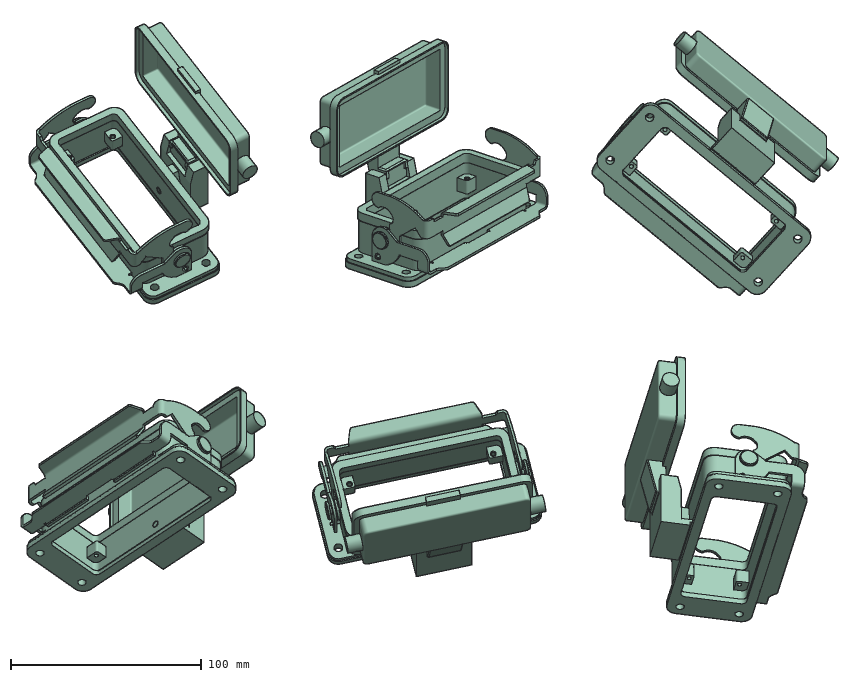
import cadquery as cq
import math


base_length = 115.5
base_width = 45.7
base_slab_height = 3.5
base_height = 5.7
base_step_inset = 0.7
base_corner = 5.8
wall_length = 95.2
wall_width = base_width - 2 * base_step_inset
wall_corner = 6.2
rim_overhang = 0.3
rim_bottom = 24.0
housing_height = 29.1
opening_length = 87.5
opening_width = 36.3
opening_corner = 2.8
liner_inset = 0.1
liner_top = 23.6
lip_inset_x = 0.9
lip_inset_y = 0.5
lip_height = 3.1
mount_hole_x = 51.6
mount_hole_y = 15.8
mount_hole_radius = 2.2
block_inner_x = 36.2
block_inner_y = 11.3
block_bottom = 9.5
block_top = 17.2
block_corner = 1.2
screw_x = 38.8
screw_y = 13.5
screw_radius = 1.0
screw_countersink_radius = 1.5

pivot_y = 0.1
pivot_z = 20.1
pivot_radius = 2.3
pivot_head_radius = 4.9
pivot_head_inner_x = 52.8
pivot_head_outer_x = 54.3
pivot_head_chamfer = 0.5
stop_y = 3.1
stop_z = 9.1
stop_radius = 0.7
stop_clearance_radius = 1.7
stop_outer_x = 53.0

hinge_half_width = 15.0
arm_half_width = 9.1
hinge_back_y = 39.5
hinge_front_y = 28.5
hinge_top_front_y = 30.5
hinge_slope_bottom = 24.6
hinge_bottom = 1.4
hinge_top = 33.1
hinge_slot_bottom = hinge_slope_bottom
foot_end_y = 23.9
foot_top = 5.2
rib_skirt_top = 7.3
rib_top = 22.8
rib_top_half_width = 2.9
rib_flare_half_width = 5.1
rib_flare_radius = 5.9
hinge_screw_z = 10.0
hinge_screw_radius = 1.8
hinge_screw_depth = 0.3

cover_z = 66.6
flange_length = 96.6
flange_height = 46.0
flange_front_y = 33.0
flange_back_y = 37.4
flange_corner = 5.8
flange_rim = 0.8
seal_recess_depth = 2.0
shell_length = 90.5
shell_height = 39.8
shell_back_y = 46.9
shell_corner = 2.9
shell_back_fillet = 1.0
cavity_length = 86.9
cavity_height = 35.9
cavity_depth = 11.5
cavity_fillet = 0.9
cover_pin_x = 53.4
cover_pin_y = 41.9
cover_pin_radius = 4.5
cover_tab_front_y = 35.3
cover_tab_back_y = 38.3
cover_top = 91.5

sheet = 1.4
bend_radius = 2.8
hook_outer_x = 49.5
hook_front_y = -28.2
hook_plate_bottom = 27.4
hook_plate_top = 37.8
bail_outer_x = 51.6
bail_bottom = 7.7
bail_front_y = -34.1
bail_ear_y = -30.3
bail_foot_y = -23.3
bail_back_y = -22.2
lip_inner_x = 9.8
lip_outer_x = 39.3
lip_bottom = 6.6
lip_bend_radius = 0.9


def rounded_block(length, width, bottom, top, corner):
    """Upright block centred on Z with rounded vertical edges."""
    block = cq.Workplane("XY").workplane(offset=bottom).rect(length, width).extrude(top - bottom)
    return block.edges("|Z").fillet(corner)


def rounded_panel(length, height, front_y, back_y, corner):
    """Standing panel centred on the cover, with rounded corners, spanning front_y to back_y."""
    panel = (
        cq.Workplane("XZ", origin=(0, front_y, cover_z))
        .rect(length, height)
        .extrude(front_y - back_y)
    )
    return panel.edges("|Y").fillet(corner)


def rod_x(radius, y, z, x_start, x_end):
    """Cylinder along X."""
    return cq.Workplane("YZ", origin=(x_start, y, z)).circle(radius).extrude(x_end - x_start)


def slab_x(profile, x_start, x_end):
    """Extrude a closed YZ profile from x_start to x_end."""
    return profile.extrude(x_end - x_start).translate((x_start, 0, 0))


def box(x_start, x_end, y_start, y_end, z_start, z_end):
    """Box given by its limits."""
    return cq.Workplane("XY").box(
        x_end - x_start, y_end - y_start, z_end - z_start, centered=False
    ).translate((x_start, y_start, z_start))


def both_ends(shape):
    """The shape together with its mirror image at the other X end."""
    return shape.union(shape.mirror("YZ"))


def symmetric_outline(plane, half_points):
    """Closed outline from the points of its +X half, mirrored about the second axis."""
    mirrored = [(-x, v) for x, v in reversed(half_points)]
    return cq.Workplane(plane).polyline(half_points + mirrored).close()


def make_base():
    slab = rounded_block(base_length, base_width, 0, base_slab_height, base_corner)
    step = rounded_block(
        base_length - 2 * base_step_inset,
        base_width - 2 * base_step_inset,
        base_slab_height,
        base_height,
        base_corner - base_step_inset,
    )
    holes = (
        cq.Workplane("XY")
        .rect(2 * mount_hole_x, 2 * mount_hole_y, forConstruction=True)
        .vertices()
        .circle(mount_hole_radius)
        .extrude(base_height)
    )
    return slab.union(step).cut(holes)


def make_walls():
    wall = rounded_block(wall_length, wall_width, base_height, rim_bottom, wall_corner)
    rim = rounded_block(
        wall_length + 2 * rim_overhang,
        wall_width + 2 * rim_overhang,
        rim_bottom,
        housing_height,
        wall_corner,
    )
    return wall.union(rim)


def make_opening():
    upper = rounded_block(opening_length, opening_width, liner_top, housing_height, opening_corner)
    middle = rounded_block(
        opening_length - 2 * liner_inset,
        opening_width - 2 * liner_inset,
        lip_height,
        liner_top,
        opening_corner,
    )
    lower = rounded_block(
        opening_length - 2 * lip_inset_x,
        opening_width - 2 * lip_inset_y,
        0,
        lip_height,
        opening_corner,
    )
    return upper.union(middle).union(lower)


def make_screw_block(side_x, side_y):
    """Block in one inner corner of the opening, with a countersunk screw hole."""
    outer_x = (opening_length + wall_length) / 4
    outer_y = (opening_width + wall_width) / 4
    overlap = opening_corner
    block = box(block_inner_x, outer_x, block_inner_y, outer_y, block_bottom, block_top)
    block = block.edges("|Z and <X and <Y").fillet(block_corner)
    trim = rounded_block(2 * outer_x, 2 * outer_y, block_bottom, block_top, overlap)
    block = block.intersect(trim)
    block = (
        block.faces(">Z")
        .workplane(origin=(screw_x, screw_y, block_top))
        .cskHole(2 * screw_radius, 2 * screw_countersink_radius, 90)
    )
    if side_x < 0:
        block = block.mirror("YZ")
    if side_y < 0:
        block = block.mirror("XZ")
    return block


def make_pivot():
    """Headed pivot pin and lever stop stud on the +X end wall."""
    wall_x = wall_length / 2
    shaft = rod_x(pivot_radius, pivot_y, pivot_z, wall_x, pivot_head_inner_x)
    head = rod_x(pivot_head_radius, pivot_y, pivot_z, pivot_head_inner_x, pivot_head_outer_x)
    head = head.faces(">X").edges().chamfer(pivot_head_chamfer)
    stop = rod_x(stop_radius, stop_y, stop_z, wall_x, stop_outer_x)
    return shaft.union(head).union(stop)


def make_hinge_post():
    """Forked hinge post joined to the back wall by a flared rib on a foot plate."""
    post_profile = cq.Workplane("YZ").polyline(
        [
            (hinge_back_y, hinge_bottom),
            (foot_end_y, hinge_bottom),
            (foot_end_y, base_slab_height),
            (hinge_front_y, base_slab_height),
            (hinge_front_y, hinge_slope_bottom),
            (hinge_top_front_y, hinge_top),
            (hinge_back_y, hinge_top),
        ]
    ).close()
    post = slab_x(post_profile, -hinge_half_width, hinge_half_width)
    slot = box(
        -arm_half_width, arm_half_width, hinge_front_y, hinge_back_y, hinge_slot_bottom, hinge_top
    )
    wall_y = wall_width / 2
    foot = box(
        -hinge_half_width, hinge_half_width, foot_end_y, hinge_front_y, base_slab_height, foot_top
    )
    bridge = box(-hinge_half_width, hinge_half_width, wall_y, foot_end_y, base_slab_height, foot_top)
    flare_half_width = rib_flare_half_width + rib_flare_radius
    flare_start_z = rib_skirt_top + rib_flare_radius
    arc_offset = rib_flare_radius * (1 - math.sqrt(0.5))
    rib = (
        cq.Workplane("XZ", origin=(0, hinge_front_y, 0))
        .moveTo(-rib_top_half_width, rib_top)
        .lineTo(rib_top_half_width, rib_top)
        .lineTo(rib_flare_half_width, flare_start_z)
        .threePointArc(
            (rib_flare_half_width + arc_offset, rib_skirt_top + arc_offset),
            (flare_half_width, rib_skirt_top),
        )
        .lineTo(flare_half_width, foot_top)
        .lineTo(-flare_half_width, foot_top)
        .lineTo(-flare_half_width, rib_skirt_top)
        .threePointArc(
            (-rib_flare_half_width - arc_offset, rib_skirt_top + arc_offset),
            (-rib_flare_half_width, flare_start_z),
        )
        .close()
        .extrude(hinge_front_y - wall_y)
    )
    return post.cut(slot).union(foot).union(bridge).union(rib)


def make_housing():
    body = make_base().union(make_walls()).cut(make_opening())
    for side_x in (-1, 1):
        for side_y in (-1, 1):
            body = body.union(make_screw_block(side_x, side_y))
    screw_recess_y = opening_width / 2 - liner_inset + hinge_screw_depth
    screw_recess = (
        cq.Workplane("XZ", origin=(0, screw_recess_y, hinge_screw_z))
        .circle(hinge_screw_radius)
        .extrude(opening_width / 2)
    )
    body = body.cut(screw_recess)
    return body.union(both_ends(make_pivot())).union(make_hinge_post())


def make_hinge_arm():
    """Tapered arm from the cover down into the hinge fork."""
    root_z = cover_z - shell_height / 2
    arm_front_y = 35.7
    knuckle_top = 35.0
    knuckle_front_y = 30.3
    heel_bottom = 25.9
    profile = cq.Workplane("YZ").polyline(
        [
            (shell_back_y - shell_back_fillet, root_z + shell_corner),
            (shell_back_y - shell_back_fillet, root_z),
            (41.1, heel_bottom + 0.6),
            (40.5, heel_bottom),
            (hinge_back_y, heel_bottom),
            (hinge_back_y, hinge_slot_bottom),
            (29.6, hinge_slot_bottom),
            (knuckle_front_y, knuckle_top - 0.8),
            (knuckle_front_y + 1.2, knuckle_top),
            (arm_front_y, knuckle_top),
            (arm_front_y, root_z + shell_corner),
        ]
    ).close()
    arm = slab_x(profile, -arm_half_width, arm_half_width)
    back_face_at = (0, 43.7, 36.6)
    arm = arm.faces(cq.selectors.NearestToPointSelector(back_face_at)).edges("not |X").chamfer(0.6)
    knuckle_top_at = (0, 33.5, knuckle_top)
    knuckle_face = cq.selectors.NearestToPointSelector(knuckle_top_at)
    arm = arm.faces(knuckle_face).edges("|Y").chamfer(0.6, 1.2)
    ear_inner_x = 7.2
    ear_bottom = 30.0
    recess_top = knuckle_top - 1.0
    recess_back_y = 31.0
    between_ears = box(
        -ear_inner_x, ear_inner_x, hinge_front_y, recess_back_y, hinge_slot_bottom, recess_top
    )
    below_ears = box(
        -arm_half_width, arm_half_width, hinge_front_y, recess_back_y, hinge_slot_bottom, ear_bottom
    )
    return arm.cut(between_ears).cut(below_ears)


def make_cover():
    flange = rounded_panel(
        flange_length, flange_height, flange_front_y, flange_back_y, flange_corner
    )
    shell = rounded_panel(shell_length, shell_height, flange_front_y, shell_back_y, shell_corner)
    shell = shell.faces(">Y").edges().fillet(shell_back_fillet)
    cavity = (
        cq.Workplane("XZ", origin=(0, flange_front_y, cover_z))
        .rect(cavity_length, cavity_height)
        .extrude(-cavity_depth)
        .edges("|Y or >Y")
        .fillet(cavity_fillet)
    )
    seal_recess = rounded_panel(
        flange_length - 2 * flange_rim,
        flange_height - 2 * flange_rim,
        flange_front_y,
        flange_front_y + seal_recess_depth,
        flange_corner - flange_rim,
    )
    pin = rod_x(cover_pin_radius, cover_pin_y, cover_z, shell_length / 2, cover_pin_x)
    tab = box(
        -arm_half_width,
        arm_half_width,
        cover_tab_front_y,
        cover_tab_back_y,
        cover_z + shell_height / 2 - shell_back_fillet,
        cover_top,
    )
    body = flange.union(shell).union(tab).union(make_hinge_arm())
    body = body.cut(cavity).cut(seal_recess)
    return body.union(both_ends(pin))


def make_hook_profile():
    """Side outline of the hooked arm and the front plate."""
    tip_y = 4.3
    tip_z = 40.9
    tip_radius = 4.4
    return (
        cq.Workplane("YZ")
        .moveTo(tip_y, tip_z + tip_radius)
        .threePointArc((tip_y + tip_radius, tip_z), (tip_y, tip_z - tip_radius))
        .threePointArc((0.0, 37.8), (-3.9, 35.5))
        .threePointArc((-5.3, 31.8), (-3.1, housing_height))
        .lineTo(-3.1, pivot_z)
        .lineTo(0.0, pivot_z)
        .lineTo(0.0, 9.5)
        .lineTo(-6.9, 9.5)
        .lineTo(-9.6, 14.4)
        .lineTo(-9.6, 23.8)
        .lineTo(-20.0, 31.8)
        .lineTo(-23.8, hook_plate_bottom)
        .lineTo(hook_front_y, hook_plate_bottom)
        .lineTo(hook_front_y, hook_plate_top)
        .lineTo(-25.3, hook_plate_top)
        .threePointArc((-13.6, 43.5), (-4.5, tip_z + tip_radius))
        .close()
    )


def make_hook_flanges():
    """Grip flange bent forward at the top and guide flange bent down at the bottom."""
    root_half_width = 36.0
    grip_tip_y = -35.8
    grip_top = 38.6
    inner_bend = 1.2
    outer_bend = inner_bend + sheet
    bend_y = hook_front_y - inner_bend
    bend_z = grip_top - outer_bend
    inner_diagonal = inner_bend * math.sqrt(0.5)
    outer_diagonal = outer_bend * math.sqrt(0.5)
    grip_profile = (
        cq.Workplane("YZ")
        .moveTo(hook_front_y, bend_z)
        .threePointArc(
            (bend_y + inner_diagonal, bend_z + inner_diagonal), (bend_y, bend_z + inner_bend)
        )
        .lineTo(grip_tip_y, bend_z + inner_bend)
        .lineTo(grip_tip_y, grip_top)
        .lineTo(bend_y, grip_top)
        .threePointArc(
            (bend_y + outer_diagonal, bend_z + outer_diagonal), (hook_front_y + sheet, bend_z)
        )
        .close()
    )
    grip_plan = symmetric_outline(
        "XY",
        [
            (root_half_width, hook_front_y + sheet),
            (root_half_width, hook_front_y),
            (33.7, grip_tip_y + 0.9),
            (32.8, grip_tip_y),
        ],
    ).extrude(housing_height + grip_top)
    guide_profile = cq.Workplane("YZ").polyline(
        [
            (hook_front_y + sheet, hook_plate_bottom),
            (hook_front_y, hook_plate_bottom),
            (hook_front_y, 25.4),
            (-31.6, 18.7),
            (-30.3, 18.0),
            (hook_front_y + sheet, 25.0),
        ]
    ).close()
    guide_front = symmetric_outline(
        "XZ",
        [(root_half_width, hook_plate_bottom), (root_half_width, 25.0), (34.4, 18.9), (33.1, 17.5)],
    ).extrude(-grip_tip_y)
    grip = slab_x(grip_profile, -root_half_width, root_half_width).intersect(grip_plan)
    guide = slab_x(guide_profile, -root_half_width, root_half_width).intersect(guide_front)
    return grip.union(guide)


def make_locking_lever():
    """U-shaped sheet lever with two hooked arms joined by the front plate."""
    back_y = 11.5
    top = 46.2
    outer = box(-hook_outer_x, hook_outer_x, hook_front_y, back_y, 0, top)
    outer = outer.edges("|Z and <Y").fillet(bend_radius)
    inner_x = hook_outer_x - sheet
    inner = box(-inner_x, inner_x, hook_front_y + sheet, back_y, 0, top)
    inner = inner.edges("|Z and <Y").fillet(bend_radius - sheet)
    channel = outer.cut(inner)
    lever = channel.intersect(slab_x(make_hook_profile(), -hook_outer_x, hook_outer_x))
    pivot_eye = rod_x(5.8, pivot_y, pivot_z, inner_x, hook_outer_x)
    bend_start = 36.0
    relief = symmetric_outline(
        "XZ",
        [(44.4, hook_plate_top), (43.2, 35.6), (36.0, 35.6), (36.0, bend_start)],
    ).extrude(-hook_front_y)
    lever = lever.cut(relief).union(both_ends(pivot_eye)).union(make_hook_flanges())
    pivot_hole = rod_x(pivot_radius, pivot_y, pivot_z, -hook_outer_x, hook_outer_x)
    return lever.cut(pivot_hole)


def make_bail_arm():
    """Flat arm of the bail at the +X end, ending where the corner bend starts."""
    lug_radius = 6.8
    diagonal = lug_radius * math.sqrt(0.5)
    bend_top = bail_bottom + bend_radius
    shoulder_z = 21.1
    shoulder_radius = 6.7
    shoulder_y = bail_ear_y + shoulder_radius
    shoulder_diagonal = shoulder_radius * math.sqrt(0.5)
    inner_z = 14.1
    profile = (
        cq.Workplane("YZ")
        .moveTo(pivot_y + lug_radius, base_height)
        .lineTo(pivot_y + lug_radius, pivot_z)
        .threePointArc(
            (pivot_y + diagonal, pivot_z + diagonal), (pivot_y - diagonal, pivot_z + diagonal)
        )
        .lineTo(-9.6, shoulder_z)
        .lineTo(shoulder_y, shoulder_z)
        .threePointArc(
            (shoulder_y - shoulder_diagonal, shoulder_z - shoulder_radius + shoulder_diagonal),
            (bail_ear_y, shoulder_z - shoulder_radius),
        )
        .lineTo(bail_ear_y, bend_top)
        .lineTo(bail_foot_y, bend_top)
        .lineTo(bail_foot_y, inner_z)
        .lineTo(-11.1, inner_z)
        .threePointArc((-8.1, 9.5), (-2.3, base_height))
        .close()
    )
    arm = slab_x(profile, bail_outer_x - sheet, bail_outer_x)
    pivot_hole = rod_x(pivot_radius, pivot_y, pivot_z, 0, bail_outer_x)
    stop_hole = rod_x(stop_clearance_radius, stop_y, stop_z, 0, bail_outer_x)
    return arm.cut(pivot_hole).cut(stop_hole)


def make_bail_plan():
    """Plan outline of the bail plate: front wings, ears and the stepped back edge."""
    wing_x = 38.8
    ear_x = 44.4
    slit_outer_x = lip_outer_x + 0.9
    lip_front_y = bail_back_y - sheet
    notch_y = -24.5
    notch_chamfer = 0.8
    middle_x = (wing_x + ear_x) / 2
    middle_y = (bail_front_y + bail_ear_y) / 2
    half = (
        cq.Workplane("XY")
        .moveTo(0, bail_front_y)
        .lineTo(wing_x, bail_front_y)
        .spline(
            [(middle_x, middle_y), (ear_x, bail_ear_y)],
            tangents=[(1, 0), (1, 0.4)],
            includeCurrent=True,
        )
        .lineTo(bail_outer_x, bail_ear_y)
        .lineTo(bail_outer_x, bail_foot_y)
        .lineTo(slit_outer_x, bail_foot_y)
        .lineTo(slit_outer_x, notch_y)
        .lineTo(lip_outer_x, notch_y)
        .lineTo(lip_outer_x, lip_front_y)
        .lineTo(lip_inner_x, lip_front_y)
        .lineTo(lip_inner_x, notch_y + notch_chamfer)
        .lineTo(lip_inner_x - notch_chamfer, notch_y)
        .lineTo(0, notch_y)
        .close()
        .extrude(pivot_z)
    )
    return both_ends(half)


def make_bail_lever():
    """U-shaped sheet lever: a wide bottom plate bent up into an arm at each end."""
    bend_top = bail_bottom + bend_radius
    outer = box(-bail_outer_x, bail_outer_x, bail_front_y, bail_back_y, bail_bottom, bend_top)
    outer = outer.edges("|Y and <Z").fillet(bend_radius - 0.001)
    inner_x = bail_outer_x - sheet
    inner = box(-inner_x, inner_x, bail_front_y, bail_back_y, bail_bottom + sheet, bend_top)
    inner = inner.edges("|Y and <Z").fillet(bend_radius - sheet - 0.001)
    plate = outer.cut(inner).intersect(make_bail_plan())
    lip = box(
        lip_inner_x,
        lip_outer_x,
        bail_back_y - sheet,
        bail_back_y,
        lip_bottom,
        bail_bottom + sheet,
    )
    lip = lip.edges("|X and >Y and >Z").fillet(lip_bend_radius)
    return plate.union(both_ends(lip)).union(both_ends(make_bail_arm()))


housing = make_housing()
cover = make_cover()
locking_lever = make_locking_lever()
bail_lever = make_bail_lever()

result = cq.Compound.makeCompound(
    [housing.val(), cover.val(), locking_lever.val(), bail_lever.val()]
)